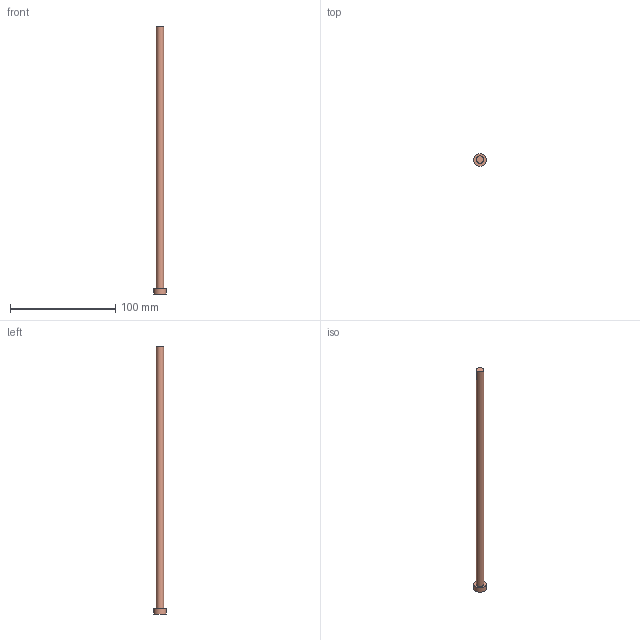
import cadquery as cq

head_diameter = 12.0
head_height = 5.0
shank_diameter = 7.0
overall_length = 255.0


def make_head():
    """Cylindrical head resting on the XY plane."""
    return cq.Workplane("XY").circle(head_diameter / 2).extrude(head_height)


def make_shank():
    """Straight round shank running the full length of the pin."""
    return cq.Workplane("XY").circle(shank_diameter / 2).extrude(overall_length)


result = make_head().union(make_shank())